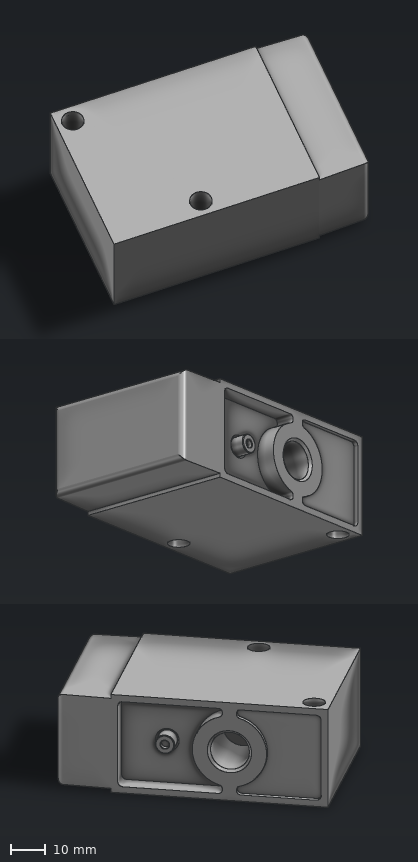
import cadquery as cq
import math

width = 50.0
height = 30.4
total_length = 80
block_length = 64
left_face = -width / 2
bevel_angle = 45

cap_height = 28
cap_rear_width = 49.0
cap_fillet = 1.9

rim = 2.0
land_radius = 11.0
web_width = 4.2
deep_pocket_depth = 6.0
shallow_pocket_depth = 1.4
outer_corner_radius = 1.6
web_corner_radius = 1.3

bore_y = 29.0
bore_diameter = 11.4
bore_depth = 20
bore_chamfer = 0.8

screw_y = 48.5
screw_diameter = 5.8
screw_height = 4
screw_chamfer = 0.2
socket_diameter = 2.5
socket_chamfer = 0.2
socket_depth = 1.6
recess_diameter = 7.0
recess_floor_diameter = 5.9
recess_depth = (recess_diameter - recess_floor_diameter) / 2

mount_diameter = 6.5
mount_x = 20
front_mount_y = 5.0


def side_plane(y, depth):
    """Plane parallel to the -X face, local axes along Y and Z, normal pointing to +X."""
    return cq.Workplane(cq.Plane((left_face + depth, y, 0), (0, 1, 0), (1, 0, 0)))


def make_cap():
    cap = (
        cq.Workplane("XY")
        .workplane(offset=-cap_height / 2)
        .polyline([
            (-width / 2, block_length),
            (width / 2, block_length),
            (cap_rear_width / 2, total_length),
            (-cap_rear_width / 2, total_length),
        ])
        .close()
        .extrude(cap_height)
    )
    return cap.faces(">Y").edges().fillet(cap_fillet)


def make_pocket(end_y, depth):
    """Pocket from the end wall at end_y to the web beside the round land."""
    side = math.copysign(1, end_y - bore_y)
    web_y = bore_y + side * web_width / 2
    pocket = (
        side_plane((end_y + web_y) / 2, 0)
        .rect(abs(end_y - web_y), height - 2 * rim)
        .extrude(depth)
    )
    pocket = pocket.cut(side_plane(bore_y, 0).circle(land_radius).extrude(depth))
    end_side, web_side = (">Y", "<Y") if side > 0 else ("<Y", ">Y")
    pocket = pocket.faces(end_side).edges("|X").fillet(outer_corner_radius)
    return pocket.faces(web_side).edges("|X").fillet(web_corner_radius)


def make_bore():
    bore = side_plane(bore_y, 0).circle(bore_diameter / 2).extrude(bore_depth)
    mouth = (
        side_plane(bore_y, 0)
        .circle(bore_diameter / 2 + bore_chamfer)
        .extrude(bore_chamfer, taper=bevel_angle)
    )
    return bore.union(mouth)


def make_screw_recess():
    return (
        side_plane(screw_y, deep_pocket_depth)
        .circle(recess_diameter / 2)
        .extrude(recess_depth, taper=bevel_angle)
    )


def make_screw():
    tip_depth = deep_pocket_depth - screw_height
    screw = (
        side_plane(screw_y, tip_depth)
        .circle(screw_diameter / 2)
        .extrude(screw_height + recess_depth)
        .faces("<X")
        .chamfer(screw_chamfer)
    )
    socket = side_plane(screw_y, tip_depth).circle(socket_diameter / 2).extrude(socket_depth)
    socket_mouth = (
        side_plane(screw_y, tip_depth)
        .circle(socket_diameter / 2 + socket_chamfer)
        .extrude(socket_chamfer, taper=bevel_angle)
    )
    return screw.cut(socket).cut(socket_mouth)


block = cq.Workplane("XY").box(width, block_length, height, centered=(True, False, True))
body = block.union(make_cap())
body = body.cut(make_pocket(block_length - rim, deep_pocket_depth))
body = body.cut(make_pocket(rim, shallow_pocket_depth))
body = body.cut(make_bore())
body = body.cut(make_screw_recess())
body = body.union(make_screw())

mount_holes = (
    cq.Workplane("XY")
    .pushPoints([(-mount_x, front_mount_y), (mount_x, bore_y)])
    .circle(mount_diameter / 2)
    .extrude(height / 2, both=True)
)
result = body.cut(mount_holes)